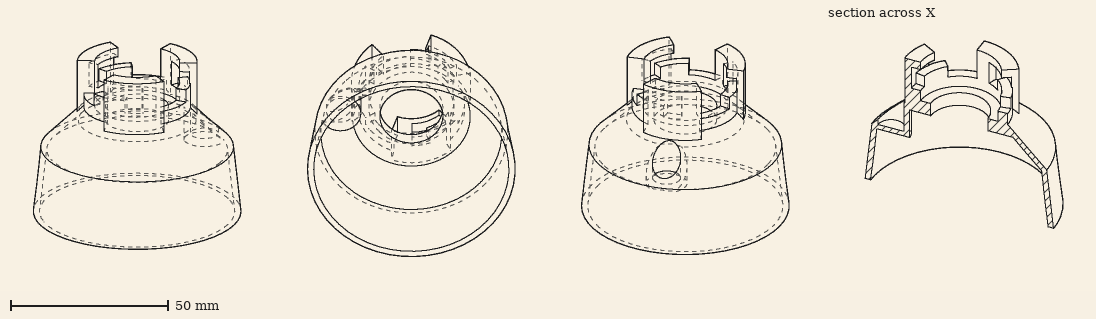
import cadquery as cq
import math

total_height = 51.0
break_height = 22.1
shoulder_top = 35.75
shelf_height = 36.0
ring_height = 40.0
stop_height = 44.1
pocket_top = 47.95
cavity_top = 31.15
claw_base = 33.0

base_radius = 33.0
break_radius = 30.6
ring_radius = 16.95
claw_radius = 19.05
pocket_radius = 33.4 / 2
inner_radius = 27.0 / 2
bore_radius = 20.0 / 2
cavity_top_radius = 37.4 / 2
cavity_break_radius = 57.4 / 2

cavity_break_height = cavity_top - (cavity_break_radius - cavity_top_radius)
skirt_slope = (base_radius - break_radius) / break_height
cavity_base_radius = cavity_break_radius + skirt_slope * cavity_break_height

claw_count = 3
pitch = 360 / claw_count
claw_start = 60
claw_end = 120
stop_start = 40
stop_end = 80
pocket_end = 100

hole_radius = 9.0 / 2
hole_offset = 23.8
hole_floor = 22.4
cup_wall = 2.0


def cylinder(radius, bottom, top, y=0):
    return cq.Workplane("XY").workplane(offset=bottom).center(0, y).circle(radius).extrude(top - bottom)


def tube(inner, outer, bottom, top):
    return cylinder(outer, bottom, top).cut(cylinder(inner, bottom, top))


def ring_sector(inner, outer, bottom, top, start, end):
    """Tube segment between two angles in degrees, cut out by a triangular wedge."""
    reach = 2 * outer
    corners = [(reach * math.cos(math.radians(a)), reach * math.sin(math.radians(a))) for a in (start, end)]
    wedge = (
        cq.Workplane("XY").workplane(offset=bottom)
        .polyline([(0, 0)] + corners).close()
        .extrude(top - bottom)
    )
    return tube(inner, outer, bottom, top).intersect(wedge)


def revolved(profile):
    """Solid of revolution about Z from (radius, height) points."""
    return cq.Workplane("XZ").polyline(profile).close().revolve(360, (0, 0), (0, 1))


outer_body = revolved([
    (0, 0), (base_radius, 0), (break_radius, break_height),
    (ring_radius, shoulder_top), (ring_radius, shelf_height), (0, shelf_height),
])
cavity = revolved([
    (0, 0), (cavity_base_radius, 0), (cavity_break_radius, cavity_break_height),
    (cavity_top_radius, cavity_top), (0, cavity_top),
])

cup = cylinder(hole_radius + cup_wall, hole_floor - cup_wall, shelf_height, hole_offset)
body = outer_body.cut(cavity.cut(cup))
body = body.cut(cylinder(hole_radius, hole_floor, total_height, hole_offset))

crown = tube(inner_radius, ring_radius, claw_base, ring_height)

for index in range(claw_count):
    turn = index * pitch
    claw = ring_sector(inner_radius, claw_radius, claw_base, total_height,
                       claw_start + turn, claw_end + turn)
    pocket = ring_sector(inner_radius, pocket_radius, ring_height, pocket_top,
                         claw_start + turn, pocket_end + turn)
    open_stop = ring_sector(inner_radius, ring_radius, ring_height, stop_height,
                            stop_start + turn, claw_start + turn)
    covered_stop = ring_sector(inner_radius, pocket_radius, ring_height, stop_height,
                               claw_start + turn, stop_end + turn)
    crown = crown.union(claw.cut(pocket)).union(open_stop).union(covered_stop)

bore = cylinder(bore_radius, 0, total_height)
result = body.union(crown).cut(bore)